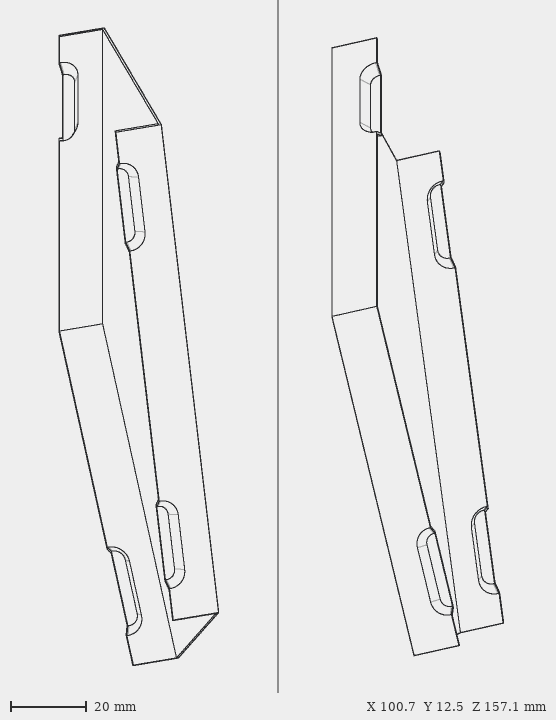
import cadquery as cq
import math

HEIGHT = 157.1
WIDTH = 100.7
DEPTH = 12.5
WALL = 0.66
FOOT_X = 65.2
TOP_WIDTH = 50.3

DENT_LENGTH = 23.5
DENT_REACH = 4.7
DENT_DEPTH = 3.1
DENT_CORNER = 4.4
DENT_END_GAP = 8.5
DENT_INSET = 1.9

TAPER = math.degrees(math.atan2(DENT_INSET, DENT_DEPTH))
BULGE_GROWTH = WALL / math.cos(math.radians(TAPER))

TOP_LEFT = (0, HEIGHT)
TOP_RIGHT = (TOP_WIDTH, HEIGHT)
RIGHT = (WIDTH, WIDTH - FOOT_X)
FOOT = (FOOT_X, 0)
LEFT = (0, FOOT_X)
OUTLINE = [TOP_LEFT, TOP_RIGHT, RIGHT, FOOT, LEFT]

WALLED_EDGES = [(TOP_RIGHT, RIGHT), (FOOT, LEFT), (LEFT, TOP_LEFT)]
DENTS = [
    (TOP_RIGHT, RIGHT, "start"),
    (TOP_RIGHT, RIGHT, "end"),
    (FOOT, LEFT, "start"),
    (LEFT, TOP_LEFT, "end"),
]


def prism(points):
    """Full-depth prism over a polygon in XZ, from the rim (Y = 0) to the back."""
    return cq.Workplane("XZ").polyline(points).close().extrude(-DEPTH)


def edge_plane(start, end, distance):
    """Plane on the outer wall face at the rim: local X along the edge, local Z inward."""
    length = math.dist(start, end)
    along_x = (end[0] - start[0]) / length
    along_z = (end[1] - start[1]) / length
    origin = (start[0] + along_x * distance, 0, start[1] + along_z * distance)
    return cq.Plane(origin=origin, xDir=(along_x, 0, along_z), normal=(along_z, 0, -along_x))


def wall(start, end):
    """Straight wall just inside one edge, longer than the edge so corners close."""
    length = math.dist(start, end)
    plane = edge_plane(start, end, length / 2)
    return cq.Workplane(plane).rect(2 * length, 2 * DEPTH).extrude(WALL)


def dent_form(start, end, place, growth, depth):
    """Tapered rounded block centred on the rim, sinking inward from the outer face."""
    centre = DENT_END_GAP + DENT_LENGTH / 2
    if place == "end":
        centre = math.dist(start, end) - centre
    profile = cq.Sketch().rect(DENT_LENGTH + 2 * growth, 2 * (DENT_REACH + growth))
    profile = profile.vertices().fillet(DENT_CORNER + growth)
    plane = edge_plane(start, end, centre)
    return cq.Workplane(plane).placeSketch(profile).extrude(depth, taper=TAPER)


envelope = prism(OUTLINE)
result = envelope.intersect(cq.Workplane("XY").box(
    WIDTH, WALL, HEIGHT, centered=False).translate((0, DEPTH - WALL, 0)))

for start, end in WALLED_EDGES:
    result = result.union(wall(start, end).intersect(envelope))

for start, end, place in DENTS:
    bulge = dent_form(start, end, place, BULGE_GROWTH, DENT_DEPTH + WALL)
    result = result.union(bulge.intersect(envelope))

for start, end, place in DENTS:
    result = result.cut(dent_form(start, end, place, 0, DENT_DEPTH))